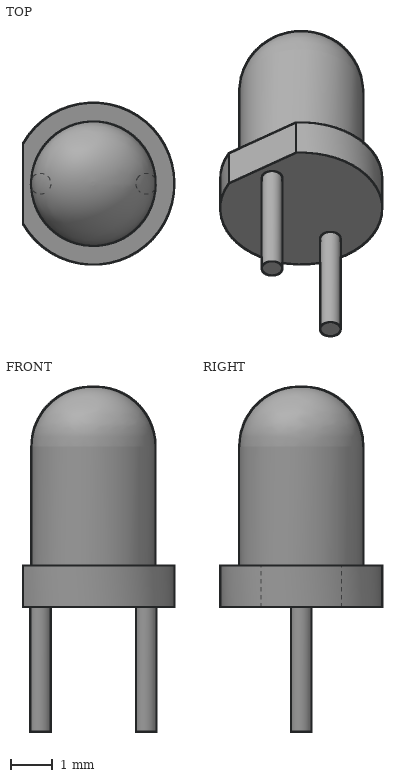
import cadquery as cq

total_height = 8.3
lead_length = 3.0
flange_height = 1.005
lens_height = total_height - lead_length - flange_height

flange_diameter = 3.9
flat_offset = 1.69

lens_diameter = 3.0
tip_diameter = 0.1
dome_radius = (lens_diameter - tip_diameter) / 2

lead_diameter = 0.5
lead_pitch = 2.54


def make_flange():
    """Disc standing on Z = 0, cut off beyond the flat."""
    disc = cq.Workplane("XY").circle(flange_diameter / 2).extrude(flange_height)
    keep_box = cq.Workplane("XY").box(
        flat_offset + flange_diameter / 2,
        flange_diameter,
        flange_height,
        centered=(False, True, False),
    )
    return disc.intersect(keep_box.translate((-flat_offset, 0, 0)))


def make_lens():
    """Domed cylinder standing on top of the flange."""
    return (
        cq.Workplane("XY", origin=(0, 0, flange_height))
        .circle(lens_diameter / 2)
        .extrude(lens_height)
        .faces(">Z")
        .edges()
        .fillet(dome_radius)
    )


def make_leads():
    """Pair of pins hanging below the flange."""
    return (
        cq.Workplane("XY")
        .pushPoints([(-lead_pitch / 2, 0), (lead_pitch / 2, 0)])
        .circle(lead_diameter / 2)
        .extrude(-lead_length)
    )


result = make_flange().union(make_lens()).union(make_leads())